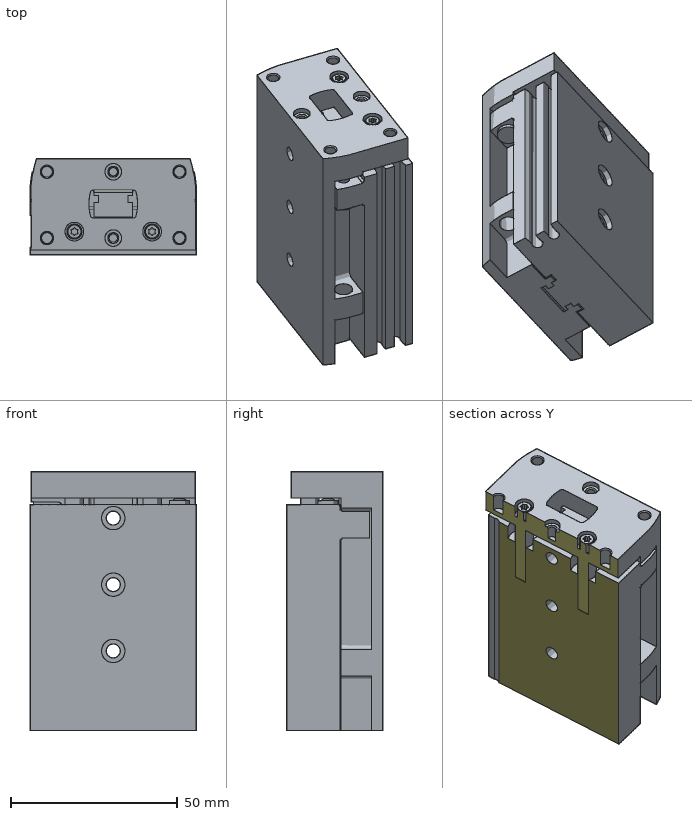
import cadquery as cq
import math


housing_width = 50.0
housing_half = housing_width / 2
total_depth = 29.0
total_height = 78.0
housing_height = 68.1
housing_depth = 16.1
table_width = 49.45
table_half = table_width / 2

curve_start_y = 21.0
curve_mid_y = 24.95
curve_mid_inset = 0.55
curve_end_inset = 1.6

end_plate_front = 1.4
end_plate_bottom = 70.05
web_front = 16.45
web_half = 15.2
back_plate_front = 25.5
pocket_fillet = 1.8
lower_pocket_fillet = 1.4
left_pocket_top = 68.95
right_pocket_top = 67.1
stop_block_bottom = 16.5
stop_block_top = 24.5

rail_half = 5.85
rail_front = 11.5
rail_back = 18.9
rail_top = 72.0
rail_notch_front = 15.75
rail_notch_back = 17.9
rail_neck_half = 4.4
carriage_half = 8.0
carriage_front = 14.35
carriage_seat_half = 8.4
carriage_seat_floor = 13.9

window_front = 11.15
window_back = 19.5
window_corner_half = 6.7
window_bulge_half = 7.3
window_corner_fillet = 0.8
carriage_top = 67.7

grid_x = 20.0
grid_front_y = 5.1
grid_back_y = grid_front_y + grid_x
thread_diameter = 3.3
thread_mouth_diameter = 4.0
thread_depth = 6.0
dowel_bore_diameter = 5.0
dowel_bore_depth = 1.55
dowel_thread_diameter = 2.5
dowel_thread_mouth_diameter = 3.3
dowel_thread_depth = thread_depth - dowel_bore_depth

rod_x = 11.7
rod_y = 7.0
rod_diameter = 5.6
rod_bottom = 48.1
rod_recess_diameter = 10.0
rod_recess_depth = 5.0
screw_head_diameter = 4.5
screw_head_chamfer = 0.27
screw_pocket_depth = 4.0
screw_head_drop = 0.5
socket_tip_radius = 1.25
socket_root_radius = 0.85
socket_depth = 2.0
socket_points = 6

mount_z = [24.0, 44.0, 64.0]
mount_diameter = 4.1
mount_bore_diameter = 7.0
mount_bore_depth = 1.8

groove_y = [4.05, 10.1]
groove_diameter = 3.3
groove_throat_width = 3.0
groove_mouth_width = 3.5
groove_mouth_depth = 1.6
groove_bottom_depth = 5.6
land_recess = 1.0

lug_bottom = 58.0
lug_top = 66.0
lug_back = 24.95
lug_inner = 16.0
lug_root_fillet = 0.6
stop_x = -20.75
stop_y = 21.05
stop_head_diameter = 6.6
stop_head_height = 1.1
stop_hole_diameter = 3.5
stop_hole_depth = 4.0
stop_block_hole_diameter = 5.45

plug_x = 20.0
plug_y = 12.5
plug_diameter = 6.0
plug_height = 1.2
plug_tip_diameter = 4.0
plug_tip_height = 0.55
plug_tip_chamfer = 0.5


def box(x0, x1, y0, y1, z0, z1):
    """Box between two opposite corners."""
    return cq.Workplane("XY").box(x1 - x0, y1 - y0, z1 - z0, centered=False).translate((x0, y0, z0))


def cylinder(x, y, z, diameter, height):
    """Upright cylinder standing on height z."""
    return cq.Workplane("XY", origin=(x, y, z)).circle(diameter / 2).extrude(height)


def chamfered_hole(x, y, z, diameter, mouth_diameter, depth):
    """Cutter for a vertical hole that opens at height z with a 45 degree mouth."""
    shank = cylinder(x, y, z - depth, diameter, depth)
    return shank.faces(">Z").workplane().circle(mouth_diameter / 2).extrude(
        -(mouth_diameter - diameter) / 2, taper=45
    )


def body_outline(half, front, height):
    """Prism with a flat front and sides that curve inwards towards the back."""
    mid = half - curve_mid_inset
    end = half - curve_end_inset
    return (
        cq.Workplane("XY")
        .moveTo(-half, front)
        .lineTo(half, front)
        .lineTo(half, curve_start_y)
        .threePointArc((mid, curve_mid_y), (end, total_depth))
        .lineTo(-end, total_depth)
        .threePointArc((-mid, curve_mid_y), (-half, curve_start_y))
        .close()
        .extrude(height)
    )


def rail_profile():
    """Cross-section of the guide rail with a ball groove in each side."""
    right = [
        (rail_half, rail_front),
        (rail_half, rail_notch_front),
        (rail_neck_half, rail_notch_front),
        (rail_neck_half, rail_notch_back),
        (rail_half, rail_notch_back),
        (rail_half, rail_back),
    ]
    left = [(-x, y) for x, y in reversed(right)]
    return cq.Workplane("XY").polyline(right + left).close()


def mounting_holes():
    """Cutter for the row of holes running front to back through both bodies."""
    points = [(0, z) for z in mount_z]
    return cq.Workplane("XZ").pushPoints(points).circle(mount_diameter / 2).extrude(-total_depth)


def side_pocket(side, bottom, top, rounded_edges, fillet):
    """Cutter for a pocket above or below a stop block; side is -1 or +1."""
    x0, x1 = sorted((side * web_half, side * housing_width))
    pocket = box(x0, x1, 0, back_plate_front, bottom, top)
    inner = "<X" if side > 0 else ">X"
    return pocket.faces(inner).edges(rounded_edges).fillet(fillet)


def window():
    """Cutter for the barrel-shaped opening above the rail."""
    mid_y = (window_front + window_back) / 2
    return (
        cq.Workplane("XY", origin=(0, 0, carriage_top))
        .moveTo(-window_corner_half, window_front)
        .lineTo(window_corner_half, window_front)
        .threePointArc((window_bulge_half, mid_y), (window_corner_half, window_back))
        .lineTo(-window_corner_half, window_back)
        .threePointArc((-window_bulge_half, mid_y), (-window_corner_half, window_front))
        .close()
        .extrude(total_height - carriage_top)
        .edges("|Z")
        .fillet(window_corner_fillet)
    )


def rail_channel():
    """Cutter for the carriage channel, leaving a key in each ball groove of the rail."""
    channel = box(-rail_half, rail_half, rail_front, window_back, 0, carriage_top)
    for x0, x1 in ((-rail_half, -rail_neck_half), (rail_neck_half, rail_half)):
        channel = channel.cut(box(x0, x1, rail_notch_front, rail_notch_back, 0, carriage_top))
    return channel


def end_plate_holes():
    """Cutter for the corner threads and the counterbored threads on the centre line."""
    holes = cq.Workplane("XY")
    for y in (grid_front_y, grid_back_y):
        for x in (-grid_x, grid_x):
            holes = holes.add(
                chamfered_hole(x, y, total_height, thread_diameter, thread_mouth_diameter, thread_depth)
            )
        bore_floor = total_height - dowel_bore_depth
        holes = holes.add(cylinder(0, y, bore_floor, dowel_bore_diameter, dowel_bore_depth))
        holes = holes.add(
            chamfered_hole(
                0, y, bore_floor, dowel_thread_diameter, dowel_thread_mouth_diameter, dowel_thread_depth
            )
        )
    return holes.combine()


def socket(x, y, top):
    """Cutter for a six-pointed drive socket."""
    points = []
    for i in range(2 * socket_points):
        radius = socket_tip_radius if i % 2 == 0 else socket_root_radius
        angle = math.pi / 2 + i * math.pi / socket_points
        points.append((radius * math.cos(angle), radius * math.sin(angle)))
    return cq.Workplane("XY", origin=(x, y, top)).polyline(points).close().extrude(-socket_depth)


def add_rod(table, x):
    """Add a piston rod below the end plate and its sunken screw head above it."""
    pocket_floor = total_height - screw_pocket_depth
    head_top = total_height - screw_head_drop
    table = table.union(cylinder(x, rod_y, rod_bottom, rod_diameter, end_plate_bottom - rod_bottom))
    table = table.cut(cylinder(x, rod_y, pocket_floor, rod_diameter, screw_pocket_depth))
    head = cylinder(x, rod_y, pocket_floor, screw_head_diameter, head_top - pocket_floor)
    table = table.union(head.faces(">Z").chamfer(screw_head_chamfer))
    return table.cut(socket(x, rod_y, head_top))


def make_table():
    table = body_outline(table_half, end_plate_front, total_height)
    table = table.cut(box(-table_half, table_half, 0, web_front, 0, end_plate_bottom))
    table = table.union(
        box(-carriage_half, carriage_half, carriage_front, web_front, 0, carriage_top)
    )
    for side, top in ((-1, left_pocket_top), (1, right_pocket_top)):
        table = table.cut(side_pocket(side, stop_block_top, top, "|Y", pocket_fillet))
        table = table.cut(side_pocket(side, 0, stop_block_bottom, "|Y and >Z", lower_pocket_fillet))
    table = table.cut(window())
    table = table.cut(rail_channel())
    table = table.cut(end_plate_holes())
    table = table.cut(
        cylinder(
            stop_x, stop_y, stop_block_bottom, stop_block_hole_diameter,
            stop_block_top - stop_block_bottom,
        )
    )
    table = table.cut(mounting_holes())
    for x in (-rod_x, rod_x):
        table = add_rod(table, x)
    return table


def sensor_groove(y):
    """Cutter for a full-height groove: a flared mouth, a straight throat and a round bottom."""
    mouth_half = groove_mouth_width / 2
    throat_half = groove_throat_width / 2
    throat_x = -housing_half + groove_mouth_depth
    bottom_x = -housing_half + groove_bottom_depth
    centre_x = bottom_x - groove_diameter / 2
    opening = cq.Workplane("XY").polyline([
        (-housing_half, y - mouth_half),
        (throat_x, y - throat_half),
        (centre_x, y - throat_half),
        (centre_x, y + throat_half),
        (throat_x, y + throat_half),
        (-housing_half, y + mouth_half),
    ]).close().extrude(housing_height)
    return opening.union(cylinder(centre_x, y, 0, groove_diameter, housing_height))


def lugs():
    """Left and right lugs that reach back into the table's side pockets."""
    root_y = housing_depth + lug_root_fillet
    lug_pair = (
        cq.Workplane("YZ", origin=(-housing_half, 0, 0))
        .moveTo(housing_depth, lug_bottom - lug_root_fillet)
        .radiusArc((root_y, lug_bottom), -lug_root_fillet)
        .lineTo(lug_back, lug_bottom)
        .lineTo(lug_back, lug_top)
        .lineTo(root_y, lug_top)
        .radiusArc((housing_depth, lug_top + lug_root_fillet), -lug_root_fillet)
        .close()
        .extrude(housing_width)
    )
    lug_pair = lug_pair.cut(box(-lug_inner, lug_inner, 0, total_depth, 0, total_height))
    return lug_pair.intersect(body_outline(housing_half, 0, total_height))


def make_housing():
    housing = box(-housing_half, housing_half, 0, housing_depth, 0, housing_height)
    land_front, land_back = groove_y
    housing = housing.cut(
        box(-housing_half, -housing_half + land_recess, land_front, land_back, 0, housing_height)
    )
    for y in groove_y:
        housing = housing.cut(sensor_groove(y))

    housing = housing.cut(
        box(-carriage_seat_half, carriage_seat_half, carriage_seat_floor, housing_depth, 0, housing_height)
    )
    housing = housing.union(rail_profile().extrude(rail_top))

    housing = housing.union(lugs())
    housing = housing.union(
        cylinder(stop_x, stop_y, lug_bottom - stop_head_height, stop_head_diameter, stop_head_height)
    )
    housing = housing.cut(
        cylinder(stop_x, stop_y, lug_top - stop_hole_depth, stop_hole_diameter, stop_hole_depth)
    )

    for x in (-rod_x, rod_x):
        housing = housing.cut(cylinder(x, rod_y, rod_bottom, rod_diameter, housing_height - rod_bottom))
        recess_floor = housing_height - rod_recess_depth
        housing = housing.cut(cylinder(x, rod_y, recess_floor, rod_recess_diameter, rod_recess_depth))

    housing = housing.cut(mounting_holes())
    bore_points = [(0, z) for z in mount_z]
    housing = housing.cut(
        cq.Workplane("XZ").pushPoints(bore_points).circle(mount_bore_diameter / 2).extrude(-mount_bore_depth)
    )

    plug = cylinder(plug_x, plug_y, housing_height, plug_diameter, plug_height)
    tip = cylinder(plug_x, plug_y, housing_height + plug_height, plug_tip_diameter, plug_tip_height)
    return housing.union(plug).union(tip.faces(">Z").chamfer(plug_tip_chamfer))


table = make_table()
housing = make_housing()
result = cq.Compound.makeCompound([table.val(), housing.val()])